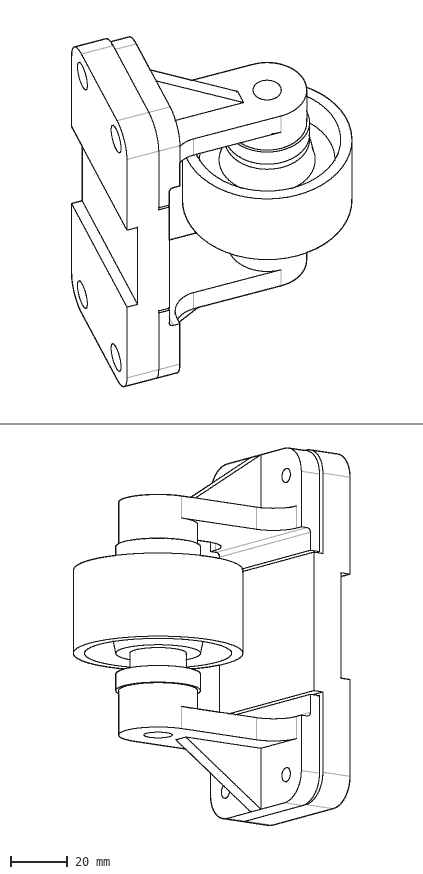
import cadquery as cq

PLATE_HEIGHT = 128.0
PLATE_WIDTH = 56.0
PLATE_CENTRE_X = -1.0
PLATE_THICKNESS = 12.0
CORNER_RADIUS = 10.0
PAD_HEIGHT = 50.0
PAD_THICKNESS = 4.0
CHANNEL_HEIGHT = 38.0
CHANNEL_DEPTH = 4.0
PLATE_HOLE_DIAMETER = 10.0
PLATE_HOLE_SPACING_X = 34.0
HOLE_SPACING_Z = 108.0

FLANGE_WIDTH = 54.0
FLANGE_THICKNESS = 8.0
FLANGE_HEIGHT = 38.0
FLANGE_HOLE_DIAMETER = 5.0
FLANGE_HOLE_SPACING_X = 36.0
TOE_THICKNESS = 4.0
TOE_FILLET = 1.5
ARM_WIDTH = 28.0
ARM_THICKNESS = 8.0
ARM_ROOT_RADIUS = 10.0
BOSS_LENGTH = 16.0
RIB_WIDTH = 6.0
RIB_LENGTH = 33.0

AXIS_Y = 63.0
AXLE_DIAMETER = 10.0
WASHER_DIAMETER = 30.0
WASHER_THICKNESS = 6.0
WHEEL_RADIUS = 30.0
WHEEL_WIDTH = 30.0
WHEEL_CENTRE_Z = 2.5
RECESS_MOUTH_RADIUS = 26.0
RECESS_FLOOR_RADIUS = 24.0
RECESS_DEPTH = 10.0
CONE_ROOT_RADIUS = 17.0
CONE_TIP_RADIUS = 15.0
HUB_RADIUS = 10.0

PLATE_TOP_Z = PLATE_HEIGHT / 2
FLANGE_INNER_Z = PLATE_TOP_Z - FLANGE_HEIGHT
ARM_OUTER_Z = FLANGE_INNER_Z + BOSS_LENGTH
ARM_INNER_Z = ARM_OUTER_Z - ARM_THICKNESS
HUB_END_Z = FLANGE_INNER_Z - WASHER_THICKNESS
FLANGE_FACE_Y = PLATE_THICKNESS + FLANGE_THICKNESS
TOE_FACE_Y = PLATE_THICKNESS + TOE_THICKNESS
RIB_TIP_Y = FLANGE_FACE_Y + RIB_LENGTH


def block(x_size, y_min, y_max, z_min, z_max, x_centre=0.0):
    """Box centred on x_centre in X and spanning the given Y and Z limits."""
    box = cq.Workplane("XY").box(x_size, y_max - y_min, z_max - z_min)
    return box.translate((x_centre, (y_min + y_max) / 2, (z_min + z_max) / 2))


def axis_cylinder(radius, z_min, z_max):
    """Cylinder on the wheel axis between two Z levels."""
    return cq.Workplane("XY", origin=(0, AXIS_Y, z_min)).circle(radius).extrude(z_max - z_min)


def y_holes(diameter, points):
    """Cutters along Y at (x, z) points, long enough to pass through plate and flange."""
    return cq.Workplane("XZ").pushPoints(points).circle(diameter / 2).extrude(-FLANGE_FACE_Y)


def make_base():
    plate = block(PLATE_WIDTH, 0, PLATE_THICKNESS, -PLATE_TOP_Z, PLATE_TOP_Z, PLATE_CENTRE_X)
    plate = plate.edges("|Y").fillet(CORNER_RADIUS)
    pad_face_y = PLATE_THICKNESS + PAD_THICKNESS
    pad = block(PLATE_WIDTH, 0, pad_face_y, -PAD_HEIGHT / 2, PAD_HEIGHT / 2, PLATE_CENTRE_X)
    channel = block(
        PLATE_WIDTH, 0, CHANNEL_DEPTH, -CHANNEL_HEIGHT / 2, CHANNEL_HEIGHT / 2, PLATE_CENTRE_X
    )
    hole_points = [
        (PLATE_CENTRE_X + side * PLATE_HOLE_SPACING_X / 2, end * HOLE_SPACING_Z / 2)
        for side in (-1, 1)
        for end in (-1, 1)
    ]
    return plate.union(pad).cut(channel).cut(y_holes(PLATE_HOLE_DIAMETER, hole_points))


def make_arm():
    """Flat arm with a rounded end at the axis and flared fillets at the flange."""
    half_width = ARM_WIDTH / 2
    root_x = half_width + ARM_ROOT_RADIUS
    neck_y = FLANGE_FACE_Y + ARM_ROOT_RADIUS
    bend = ARM_ROOT_RADIUS * (1 - 0.5**0.5)
    return (
        cq.Workplane("XY", origin=(0, 0, ARM_INNER_Z))
        .moveTo(-root_x, TOE_FACE_Y)
        .lineTo(-root_x, FLANGE_FACE_Y)
        .threePointArc((-half_width - bend, FLANGE_FACE_Y + bend), (-half_width, neck_y))
        .lineTo(-half_width, AXIS_Y)
        .threePointArc((0, AXIS_Y + half_width), (half_width, AXIS_Y))
        .lineTo(half_width, neck_y)
        .threePointArc((half_width + bend, FLANGE_FACE_Y + bend), (root_x, FLANGE_FACE_Y))
        .lineTo(root_x, TOE_FACE_Y)
        .close()
        .extrude(ARM_THICKNESS)
    )


def make_flange():
    """Plate screwed to the base, thinned to a toe on the wheel side of the arm."""
    flange = block(FLANGE_WIDTH, PLATE_THICKNESS, FLANGE_FACE_Y, FLANGE_INNER_Z, PLATE_TOP_Z)
    flange = flange.edges("|Y and >Z").fillet(CORNER_RADIUS)
    toe_clearance = block(
        FLANGE_WIDTH, TOE_FACE_Y, FLANGE_FACE_Y + TOE_FILLET, FLANGE_INNER_Z, ARM_INNER_Z
    )
    toe_clearance = toe_clearance.edges("|X and <Y and >Z").fillet(TOE_FILLET)
    hole_points = [(side * FLANGE_HOLE_SPACING_X / 2, HOLE_SPACING_Z / 2) for side in (-1, 1)]
    return flange.cut(toe_clearance).cut(y_holes(FLANGE_HOLE_DIAMETER, hole_points))


def make_rib():
    """Triangular web between the outer side of the arm and the flange face."""
    return (
        cq.Workplane("YZ")
        .polyline([(FLANGE_FACE_Y, ARM_OUTER_Z), (RIB_TIP_Y, ARM_OUTER_Z), (FLANGE_FACE_Y, PLATE_TOP_Z)])
        .close()
        .extrude(RIB_WIDTH / 2, both=True)
    )


def make_upper_bracket():
    boss = axis_cylinder(ARM_WIDTH / 2, FLANGE_INNER_Z, ARM_OUTER_Z)
    bore = axis_cylinder(AXLE_DIAMETER / 2, FLANGE_INNER_Z, ARM_OUTER_Z)
    return make_flange().union(make_arm()).union(make_rib()).union(boss).cut(bore)


def make_upper_washer():
    washer = axis_cylinder(WASHER_DIAMETER / 2, HUB_END_Z, FLANGE_INNER_Z)
    return washer.cut(axis_cylinder(AXLE_DIAMETER / 2, HUB_END_Z, FLANGE_INNER_Z))


def make_recess():
    """Ring cutter for the upper wheel face, tapered on its outer and inner walls."""
    mouth_z = WHEEL_CENTRE_Z + WHEEL_WIDTH / 2
    floor_z = mouth_z - RECESS_DEPTH
    return (
        cq.Workplane("XZ")
        .polyline(
            [
                (CONE_TIP_RADIUS, mouth_z),
                (RECESS_MOUTH_RADIUS, mouth_z),
                (RECESS_FLOOR_RADIUS, floor_z),
                (CONE_ROOT_RADIUS, floor_z),
            ]
        )
        .close()
        .revolve(360, (0, 0, 0), (0, 1, 0))
        .translate((0, AXIS_Y, 0))
    )


def make_wheel():
    half_width = WHEEL_WIDTH / 2
    wheel = axis_cylinder(WHEEL_RADIUS, WHEEL_CENTRE_Z - half_width, WHEEL_CENTRE_Z + half_width)
    recess = make_recess()
    wheel = wheel.cut(recess).cut(recess.mirror("XY", (0, 0, WHEEL_CENTRE_Z)))
    hub = axis_cylinder(HUB_RADIUS, -HUB_END_Z, HUB_END_Z)
    bore = axis_cylinder(AXLE_DIAMETER / 2, -HUB_END_Z, HUB_END_Z)
    return wheel.union(hub).cut(bore)


def with_mirrored_copy(upper_body):
    """The upper body and its mirror image below the Z = 0 plane, as separate solids."""
    return [upper_body.val(), upper_body.mirror("XY").val()]


base = make_base()
brackets = with_mirrored_copy(make_upper_bracket())
washers = with_mirrored_copy(make_upper_washer())
wheel = make_wheel()
axle = axis_cylinder(AXLE_DIAMETER / 2, -ARM_OUTER_Z, ARM_OUTER_Z)

result = cq.Compound.makeCompound([base.val(), *brackets, *washers, wheel.val(), axle.val()])